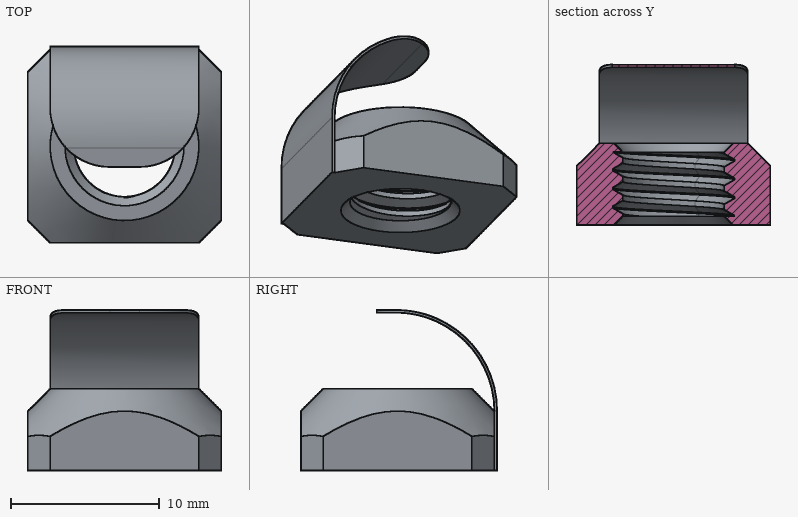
import cadquery as cq
import math

nut_width = 13.0
nut_height = 5.5
corner_cut = 1.5
top_face_radius = nut_width / 2 - corner_cut

minor_diameter = 6.78
major_diameter = 8.17
pitch = 1.25
crest_width = 0.37
flank_angle = 30
thread_start_angle = 65
countersink_diameter = 8.0
countersink_depth = (countersink_diameter - minor_diameter) / 2

strip_thickness = 0.2
strip_width = 2 * top_face_radius
strip_height = 10.8
strip_reach = 8.1
bend_radius = 6.8
tip_corner_radius = 4.0


def make_nut_body():
    block = (
        cq.Workplane("XY")
        .rect(nut_width, nut_width)
        .extrude(nut_height)
        .edges("|Z")
        .chamfer(corner_cut)
    )
    cone = cq.Workplane("XY").add(
        cq.Solid.makeCone(top_face_radius + nut_height, top_face_radius, nut_height)
    )
    return block.intersect(cone)


def make_countersinks():
    """A 45 degree countersink at each end, narrowing to the bore diameter."""
    outer_radius = countersink_diameter / 2
    lower = cq.Workplane("XY").add(
        cq.Solid.makeCone(outer_radius, minor_diameter / 2, countersink_depth)
    )
    upper = lower.rotate((0, 0, 0), (1, 0, 0), 180).translate((0, 0, nut_height))
    return lower, upper


def make_thread_rod():
    """Solid rod carrying the external form of the thread, cut flat at both countersinks."""
    minor_radius = minor_diameter / 2
    root_radius = major_diameter / 2
    flank_rise = (root_radius - minor_radius) * math.tan(math.radians(flank_angle))
    profile = [
        (minor_radius, 0),
        (minor_radius, crest_width),
        (root_radius, crest_width + flank_rise),
        (root_radius, pitch - flank_rise),
        (minor_radius, pitch),
    ]
    spare_turns = 2
    turns = math.ceil(nut_height / pitch) + 2 * spare_turns
    bottom = -spare_turns * pitch

    def helix_turn(radius, height):
        return cq.Wire.makeHelix(pitch, pitch, radius, cq.Vector(0, 0, height)).Edges()[0]

    faces = []
    for turn in range(turns):
        base = bottom + turn * pitch
        for (radius_a, height_a), (radius_b, height_b) in zip(profile, profile[1:]):
            lower_edge = helix_turn(radius_a, base + height_a)
            upper_edge = helix_turn(radius_b, base + height_b)
            faces.append(cq.Face.makeRuledSurface(lower_edge, upper_edge))

    for base in (bottom, bottom + turns * pitch):
        axis_edge = cq.Edge.makeLine(cq.Vector(0, 0, base), cq.Vector(0, 0, base + pitch))
        faces.append(cq.Face.makeRuledSurface(axis_edge, helix_turn(minor_radius, base)))
        corners = [(0, 0)] + profile + [(0, pitch)]
        outline = [cq.Vector(radius, 0, base + height) for radius, height in corners]
        faces.append(cq.Face.makeFromWires(cq.Wire.makePolygon(outline, close=True)))

    rod = cq.Solid.makeSolid(cq.Shell.makeShell(faces)).fix()
    threaded_span = (
        cq.Workplane("XY")
        .workplane(offset=countersink_depth)
        .rect(nut_width, nut_width)
        .extrude(nut_height - 2 * countersink_depth)
    )
    long_rod = cq.Workplane("XY").add(rod).rotate((0, 0, 0), (0, 0, 1), thread_start_angle)
    return threaded_span.intersect(long_rod)


def make_strip():
    back = nut_width / 2 + strip_thickness
    front = back - strip_reach
    bend_y = back - bend_radius
    bend_z = strip_height - bend_radius
    inner_back = back - strip_thickness
    inner_top = strip_height - strip_thickness
    outer_mid = bend_radius * math.sqrt(0.5)
    inner_mid = (bend_radius - strip_thickness) * math.sqrt(0.5)
    strip = (
        cq.Workplane("YZ")
        .moveTo(back, 0)
        .lineTo(back, bend_z)
        .threePointArc((bend_y + outer_mid, bend_z + outer_mid), (bend_y, strip_height))
        .lineTo(front, strip_height)
        .lineTo(front, inner_top)
        .lineTo(bend_y, inner_top)
        .threePointArc((bend_y + inner_mid, bend_z + inner_mid), (inner_back, bend_z))
        .lineTo(inner_back, 0)
        .close()
        .extrude(strip_width / 2, both=True)
    )
    outline = (
        cq.Workplane("XY")
        .center(0, back - strip_reach / 2)
        .rect(strip_width, strip_reach)
        .extrude(strip_height)
        .edges("|Z and <Y")
        .fillet(tip_corner_radius)
    )
    return strip.intersect(outline)


lower_countersink, upper_countersink = make_countersinks()
nut_body = make_nut_body().cut(lower_countersink).cut(upper_countersink)
threaded_nut = nut_body.cut(make_thread_rod())
result = threaded_nut.union(make_strip())